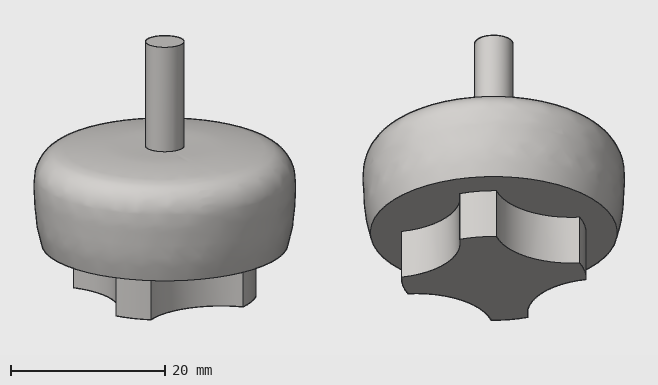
import cadquery as cq
import math

total_height = 34.1
stem_diameter = 5.0

cap_bottom = 6.65
cap_top = 19.98
cap_rim_radius = 16.0
lower_side = (16.65, 9.55)
widest_point = (16.9, 13.13)
upper_side = (16.55, 17.05)
shoulder = (15.25, 18.65)
crown_edge = (11.95, 19.57)
crown_middle = (6.82, 19.9)

foot_diameter = 23.95
scallop_radius = 10.0
lobe_edge_offset = 6.58


def make_cap():
    """Revolve a half profile whose outside is one smooth curve from rim to crown."""
    profile = (
        cq.Workplane("XZ")
        .moveTo(0, cap_bottom)
        .lineTo(cap_rim_radius, cap_bottom)
        .spline(
            [lower_side, widest_point, upper_side, shoulder, crown_edge, crown_middle, (0, cap_top)],
            includeCurrent=True,
        )
        .close()
    )
    return profile.revolve(360, (0, 0, 0), (0, 1, 0))


def make_foot():
    """Scallop the disc so that four equal lobes remain on the diagonals."""
    opening_distance = math.sqrt((foot_diameter / 2) ** 2 - lobe_edge_offset**2)
    center_distance = opening_distance + math.sqrt(scallop_radius**2 - lobe_edge_offset**2)
    disc = cq.Workplane("XY").circle(foot_diameter / 2).extrude(cap_bottom)
    scallops = (
        cq.Workplane("XY")
        .polarArray(center_distance, 0, 360, 4)
        .circle(scallop_radius)
        .extrude(cap_bottom)
    )
    return disc.cut(scallops)


def make_stem():
    """Upright pin rising from inside the cap to the full height."""
    return (
        cq.Workplane("XY")
        .workplane(offset=cap_bottom)
        .circle(stem_diameter / 2)
        .extrude(total_height - cap_bottom)
    )


result = make_cap().union(make_foot()).union(make_stem())